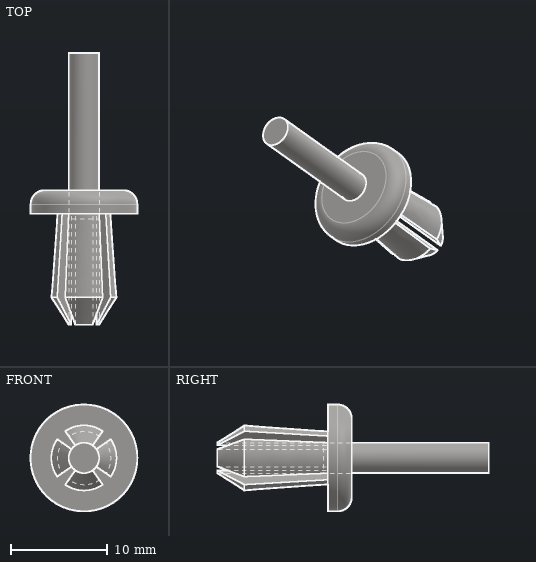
import cadquery as cq

total_length = 28.2
head_radius = 5.55
head_thickness = 2.48
head_edge_radius = 1.5
pin_radius = 1.58
pin_protrusion = 0.5

leg_length = 11.5
leg_base_radius = 2.75
leg_bulge_radius = 3.38
leg_nose_length = 2.85
leg_count = 4
slot_angle = 20.0
slot_overrun = 0.28

leg_tip_y = -total_length / 2
head_front_y = leg_tip_y + leg_length
head_back_y = head_front_y + head_thickness
leg_bulge_y = leg_tip_y + leg_nose_length
pin_back_y = total_length / 2
pin_front_y = head_front_y - pin_protrusion


def make_sleeve_blank():
    """Turned head and leg ring around the pin bore; the ring ends in a sharp edge at the bore."""
    edge_start_y = head_back_y - head_edge_radius
    return (
        cq.Workplane("XY")
        .moveTo(pin_radius, leg_tip_y)
        .lineTo(leg_bulge_radius, leg_bulge_y)
        .lineTo(leg_base_radius, head_front_y)
        .lineTo(head_radius, head_front_y)
        .lineTo(head_radius, edge_start_y)
        .radiusArc((head_radius - head_edge_radius, head_back_y), -head_edge_radius)
        .lineTo(pin_radius, head_back_y)
        .close()
        .revolve(360, (0, 0, 0), (0, 1, 0))
    )


def make_slot_cutter():
    """Wedge with radial sides, centred on +X, that clears one gap between legs."""
    return (
        cq.Workplane("XY")
        .moveTo(0, head_front_y)
        .lineTo(head_radius, head_front_y)
        .lineTo(head_radius, leg_tip_y - slot_overrun)
        .lineTo(0, leg_tip_y - slot_overrun)
        .close()
        .revolve(slot_angle, (0, 0, 0), (0, 1, 0))
        .rotate((0, 0, 0), (0, 1, 0), -slot_angle / 2)
    )


def make_sleeve():
    """Head and its legs as one solid, slotted midway between the X and Z axes."""
    sleeve = make_sleeve_blank()
    cutter = make_slot_cutter()
    leg_pitch = 360.0 / leg_count
    for index in range(leg_count):
        turn = (index + 0.5) * leg_pitch
        sleeve = sleeve.cut(cutter.rotate((0, 0, 0), (0, 1, 0), turn))
    return sleeve


def make_pin():
    """Plain round pin that fills the bore and stands out of both head faces."""
    return (
        cq.Workplane("XZ", origin=(0, pin_back_y, 0))
        .circle(pin_radius)
        .extrude(pin_back_y - pin_front_y)
    )


sleeve = make_sleeve()
pin = make_pin()

result = cq.Compound.makeCompound([sleeve.solids().val(), pin.val()])